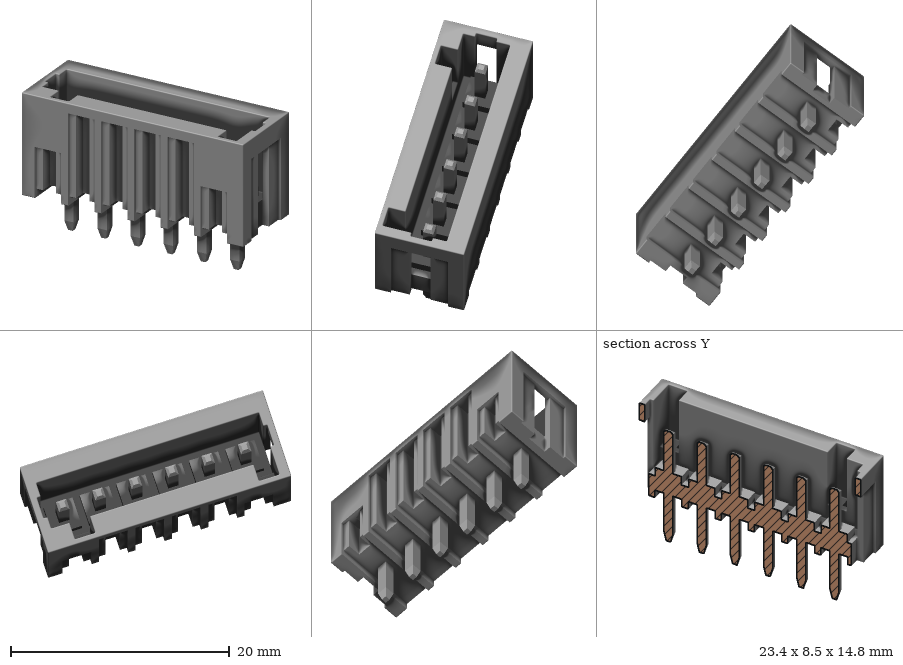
import cadquery as cq


pin_count = 6
pin_pitch = 3.5
pin_width = 1.0
pin_tip_width = 0.5
pin_bottom = -4.5
pin_bottom_taper = 1.0
pin_top = 8.2
pin_top_taper = 0.25

housing_length = 23.4
housing_depth = 8.5
housing_height = 10.3
housing_left = -11.55
housing_front = -4.35
edge_radius = 0.1

cavity_end_wall = 1.0
cavity_width = 4.45
cavity_floor = 2.55

pad_size = 2.8
pad_top = 3.5

slot_width = pad_size
slot_depth = 0.3
inner_slot_width = 1.4
inner_slot_depth = 1.6
middle_slot_top = 9.3
end_slot_top = 5.15
channel_height = 0.85

end_slot_width = 5.45
end_slot_depth = 0.3
end_window_width = 2.0
end_window_top = 8.3
end_recess_wall = 0.63

key_width = 1.95
key_spacing = 17.7
key_floor = 4.25
key_front_wall = 0.5

housing_right = housing_left + housing_length
housing_back = housing_front + housing_depth
housing_mid_x = (housing_left + housing_right) / 2
housing_mid_y = (housing_front + housing_back) / 2
cavity_left = housing_left + cavity_end_wall
cavity_right = housing_right - cavity_end_wall
pin_positions = [(i - (pin_count - 1) / 2) * pin_pitch for i in range(pin_count)]


def block(x_range, y_range, z_range):
    """Axis-aligned box between pairs of limits."""
    size = [high - low for low, high in (x_range, y_range, z_range)]
    corner = (x_range[0], y_range[0], z_range[0])
    return cq.Workplane("XY").box(*size, centered=False).translate(corner)


def centred(middle, width):
    """Limits of a width centred on a position."""
    return (middle - width / 2, middle + width / 2)


def mirrored_end(shape):
    """The shape together with its copy at the opposite end of the housing."""
    return shape.union(shape.mirror("YZ", (housing_mid_x, 0, 0)))


def housing_block():
    """Plain block of the housing with every edge rounded."""
    body = block((housing_left, housing_right), (housing_front, housing_back), (0, housing_height))
    return body.edges().fillet(edge_radius)


def cavity():
    """Pin cavity with its end recesses and key notches, as a solid rounded below its mouth."""
    y_range = centred(0, cavity_width)
    space = block((cavity_left, cavity_right), y_range, (cavity_floor, housing_height))

    recess_x = (housing_left + end_recess_wall, housing_right - end_recess_wall)
    recess_y = centred(housing_mid_y, end_window_width)
    space = space.union(block(recess_x, recess_y, (cavity_floor, housing_height)))

    for key_right in (cavity_right - key_spacing, cavity_right):
        key_x = (key_right - key_width, key_right)
        key_y = (housing_front + key_front_wall, 0)
        space = space.union(block(key_x, key_y, (key_floor, housing_height)))
    return space.edges("not >Z").fillet(edge_radius)


def open_shell():
    """Housing with the cavity cut into it and its mouth rounded."""
    shell = housing_block().cut(cavity())
    mouth = shell.faces(">Z").val().innerWires()[0]
    return shell.newObject(mouth.Edges()).fillet(edge_radius)


def front_slot(x, top):
    """Wide shallow slot with a narrow deep slot in its middle, plus the channel underneath."""
    wide_y = (housing_front, housing_front + slot_depth)
    deep_y = (housing_front, housing_front + inner_slot_depth)
    wide = block(centred(x, slot_width), wide_y, (0, top))
    deep = block(centred(x, inner_slot_width), deep_y, (0, top))
    channel = block(centred(x, slot_width), (housing_front, housing_back), (0, channel_height))
    return wide.union(deep).union(channel)


def end_slots():
    """Wide shallow slot and central window in each end of the housing."""
    z_range = (0, end_window_top)
    wide_x = (housing_left, housing_left + end_slot_depth)
    window_x = (housing_left, cavity_left)
    wide = block(wide_x, centred(housing_mid_y, end_slot_width), z_range)
    window = block(window_x, centred(housing_mid_y, end_window_width), z_range)
    return mirrored_end(wide.union(window))


def pad(x):
    """Square pad around one pin."""
    return block(centred(x, pad_size), centred(0, pad_size), (cavity_floor, pad_top))


def pin(x):
    """Square pin with a tapered tip at each end."""
    def tip(base_z, end_z):
        return (
            cq.Workplane("XY", origin=(x, 0, base_z))
            .rect(pin_width, pin_width)
            .workplane(offset=end_z - base_z)
            .rect(pin_tip_width, pin_tip_width)
            .loft(ruled=True)
        )

    shank_bottom = pin_bottom + pin_bottom_taper
    shank_top = pin_top - pin_top_taper
    shank = block(centred(x, pin_width), centred(0, pin_width), (shank_bottom, shank_top))
    return shank.union(tip(shank_bottom, pin_bottom)).union(tip(shank_top, pin_top))


result = open_shell().cut(end_slots())

for position in pin_positions:
    is_end_pin = position in (pin_positions[0], pin_positions[-1])
    result = result.cut(front_slot(position, end_slot_top if is_end_pin else middle_slot_top))

for position in pin_positions:
    result = result.union(pad(position)).union(pin(position))